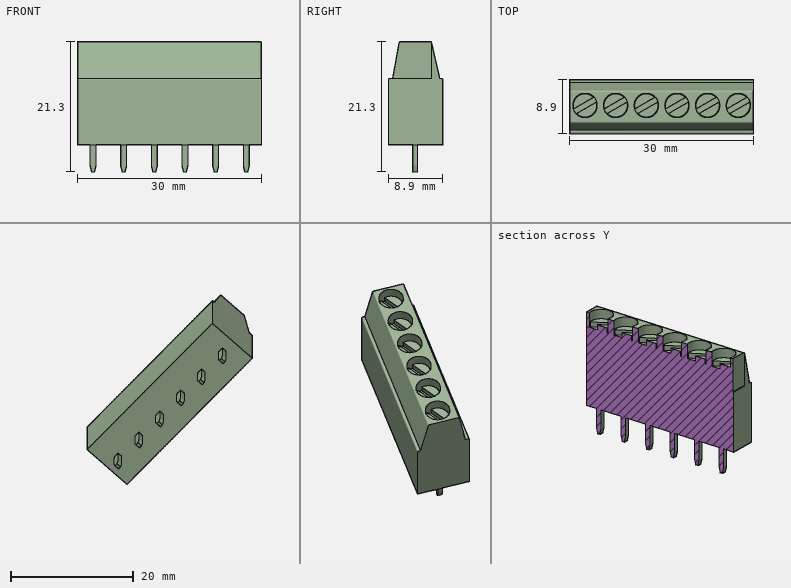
import cadquery as cq


POLES = 6
LENGTH = 30.0
PITCH = LENGTH / POLES
DEPTH = 8.9
HEIGHT = 16.85
SHOULDER_Z = 10.85
SHOULDER_FRONT_Y = 0.7
SHOULDER_BACK_Y = 8.4
TOP_FRONT_Y = 1.77
TOP_BACK_Y = 7.02
EDGE_RADIUS = 0.3

RELIEF_DEPTH = 0.1
RELIEF_BACK_Y = 7.05

WELL_DIAMETER = 4.0
WELL_Y = 4.68
WELL_DEPTH = 1.65
WELL_FLAT_WIDTH = 0.4
SCREW_DIAMETER = 3.8
SLOT_WIDTH = 0.9
SLOT_DEPTH = 0.9
SLOT_ANGLE = 30.0

PIN_WIDTH = 1.0
PIN_THICKNESS = 0.8
PIN_TIP_WIDTH = 0.48
PIN_LENGTH = 21.3 - HEIGHT
PIN_TIP_LENGTH = 1.02
PIN_Y = 4.38

POLE_X = [(pole + 0.5) * PITCH for pole in range(POLES)]


def make_housing():
    """Extrude the stepped, tapered section and round its four long upper edges."""
    section = [
        (0, 0),
        (DEPTH, 0),
        (DEPTH, SHOULDER_Z),
        (SHOULDER_BACK_Y, SHOULDER_Z),
        (TOP_BACK_Y, HEIGHT),
        (TOP_FRONT_Y, HEIGHT),
        (SHOULDER_FRONT_Y, SHOULDER_Z),
        (0, SHOULDER_Z),
    ]
    housing = cq.Workplane("YZ").polyline(section).close().extrude(LENGTH)
    rounded_edges = [
        (0, SHOULDER_Z),
        (DEPTH, SHOULDER_Z),
        (TOP_FRONT_Y, HEIGHT),
        (TOP_BACK_Y, HEIGHT),
    ]
    for y, z in rounded_edges:
        edge_middle = cq.selectors.NearestToPointSelector((LENGTH / 2, y, z))
        housing = housing.edges("|X").edges(edge_middle).fillet(EDGE_RADIUS)
    return housing


def make_end_relief():
    """Thin layer removed from the +X end; the back slope keeps its full length."""
    return cq.Workplane("XY").box(
        RELIEF_DEPTH, RELIEF_BACK_Y, HEIGHT - SHOULDER_Z, centered=False
    ).translate((LENGTH - RELIEF_DEPTH, 0, SHOULDER_Z))


def make_well(x):
    """Space above and around one screw, with a narrow flat on the +Y side, plus its slot."""
    screw_top = HEIGHT - WELL_DEPTH
    slot_floor = screw_top - SLOT_DEPTH
    well_radius = WELL_DIAMETER / 2
    flat_offset = (well_radius**2 - (WELL_FLAT_WIDTH / 2) ** 2) ** 0.5

    base = cq.Workplane("XY", origin=(x, WELL_Y, slot_floor))
    screw = base.circle(SCREW_DIAMETER / 2).extrude(SLOT_DEPTH)
    slot = base.transformed(rotate=(0, 0, SLOT_ANGLE)).rect(WELL_DIAMETER, SLOT_WIDTH).extrude(SLOT_DEPTH)
    well = (
        base.moveTo(-WELL_FLAT_WIDTH / 2, flat_offset)
        .threePointArc((0, -well_radius), (WELL_FLAT_WIDTH / 2, flat_offset))
        .close()
        .extrude(HEIGHT - slot_floor)
    )
    return well.cut(screw.cut(slot))


def make_pin(x):
    """Flat solder pin with a tapered tip, running down from the underside."""
    half_width = PIN_WIDTH / 2
    half_tip = PIN_TIP_WIDTH / 2
    outline = [
        (x - half_width, 0),
        (x + half_width, 0),
        (x + half_width, PIN_TIP_LENGTH - PIN_LENGTH),
        (x + half_tip, -PIN_LENGTH),
        (x - half_tip, -PIN_LENGTH),
        (x - half_width, PIN_TIP_LENGTH - PIN_LENGTH),
    ]
    plane = cq.Workplane("XZ", origin=(0, PIN_Y, 0))
    return plane.polyline(outline).close().extrude(PIN_THICKNESS / 2, both=True)


result = make_housing().cut(make_end_relief())
for pole_x in POLE_X:
    result = result.cut(make_well(pole_x)).union(make_pin(pole_x))